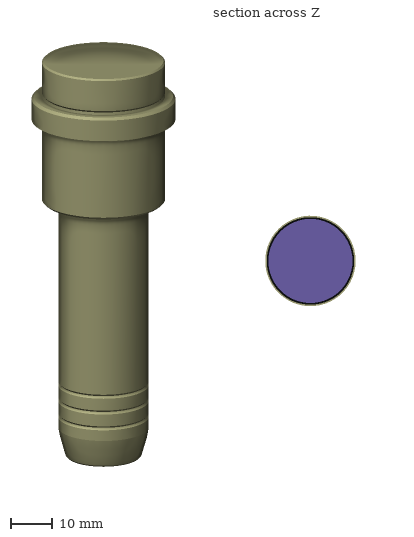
import cadquery as cq

LENGTH = 101.0

COLLAR_RADIUS = 30.0 / 2
FLANGE_RADIUS = 35.0 / 2
SHANK_RADIUS = 22.0 / 2
NOSE_TIP_RADIUS = 9.3

RELIEF_DEPTH = 0.5
RELIEF_WIDTH = 1.0

HEAD_LENGTH = 8.1
FLANGE_THICKNESS = 5.9
COLLAR_LENGTH = 20.0
NOSE_LENGTH = 7.3

HEAD_CHAMFER = 0.4
FLANGE_CHAMFER = 0.6
COLLAR_CHAMFER = 0.6
TIP_CHAMFER = 0.4

NOSE_BULGE = 0.2

GROOVE_COUNT = 3
GROOVE_PITCH = 4.0
LOWEST_GROOVE_Z = 10.5
GROOVE_WIDTH = 1.0
GROOVE_DEPTH = 0.5

head_bottom = LENGTH - HEAD_LENGTH
flange_top = head_bottom - RELIEF_WIDTH
flange_bottom = flange_top - FLANGE_THICKNESS
collar_top = flange_bottom - RELIEF_WIDTH
collar_bottom = collar_top - COLLAR_LENGTH
shank_top = collar_bottom - RELIEF_WIDTH


def cylinder(radius, bottom, top):
    return cq.Workplane("XY").workplane(offset=bottom).circle(radius).extrude(top - bottom)


def nose():
    """Convex tapered lead-in with a broken tip edge."""
    middle_radius = (SHANK_RADIUS + NOSE_TIP_RADIUS) / 2 + NOSE_BULGE
    middle_z = (NOSE_LENGTH + TIP_CHAMFER) / 2
    return (
        cq.Workplane("XZ")
        .lineTo(NOSE_TIP_RADIUS - TIP_CHAMFER, 0)
        .lineTo(NOSE_TIP_RADIUS, TIP_CHAMFER)
        .threePointArc((middle_radius, middle_z), (SHANK_RADIUS, NOSE_LENGTH))
        .lineTo(0, NOSE_LENGTH)
        .close()
        .revolve(360, (0, 0, 0), (0, 1, 0))
    )


def v_groove(radius, z):
    """Triangular ring that cuts a V groove into a cylinder of the given radius."""
    half_width = GROOVE_WIDTH / 2
    return (
        cq.Workplane("XZ")
        .moveTo(radius, z - half_width)
        .lineTo(radius - GROOVE_DEPTH, z)
        .lineTo(radius, z + half_width)
        .close()
        .revolve(360, (0, 0, 0), (0, 1, 0))
    )


collar = (
    cylinder(COLLAR_RADIUS, collar_bottom, LENGTH)
    .faces(">Z").chamfer(HEAD_CHAMFER)
    .faces("<Z").chamfer(COLLAR_CHAMFER)
)
flange = cylinder(FLANGE_RADIUS, flange_bottom, flange_top).faces(">Z").chamfer(FLANGE_CHAMFER)
shank = cylinder(SHANK_RADIUS, NOSE_LENGTH, shank_top)
shank_neck = cylinder(SHANK_RADIUS - RELIEF_DEPTH, shank_top, collar_bottom)

collar_relief = cylinder(COLLAR_RADIUS, collar_top, flange_bottom).cut(
    cylinder(COLLAR_RADIUS - RELIEF_DEPTH, collar_top, flange_bottom)
)
head_groove = v_groove(COLLAR_RADIUS, (head_bottom + flange_top) / 2)
collar = collar.cut(collar_relief).cut(head_groove)

result = nose().union(shank).union(shank_neck).union(collar).union(flange)

for index in range(GROOVE_COUNT):
    result = result.cut(v_groove(SHANK_RADIUS, LOWEST_GROOVE_Z + index * GROOVE_PITCH))